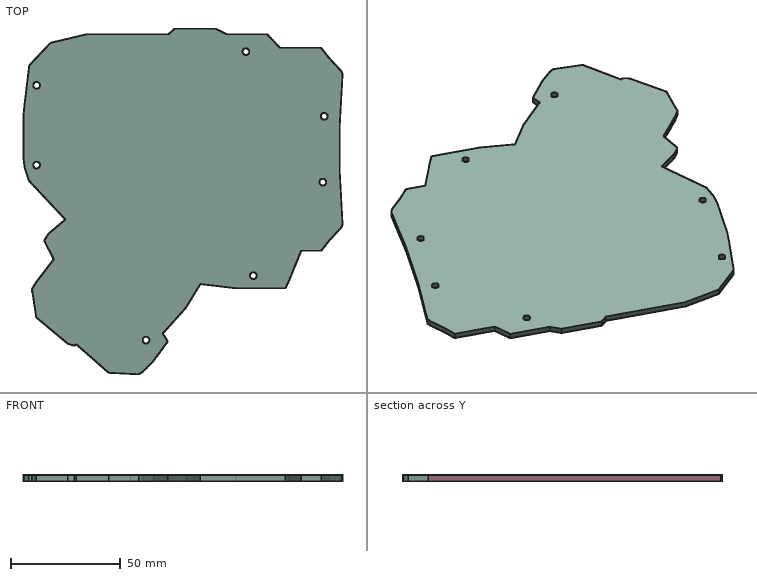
import cadquery as cq

WIDTH = 146.18
DEPTH = 158.17
THICKNESS = 3.0
HOLE_DIAMETER = 3.0

LEFT = -WIDTH / 2
RIGHT = WIDTH / 2
FRONT = -DEPTH / 2
BACK = DEPTH / 2

BACK_EDGE_Y = 76.6
BACK_STEP_Y = 70.4
RIGHT_STEP_Y = -22.6
FRONT_EDGE_Y = -39.7
RIGHT_WAIST_X = 71.8
RIGHT_CORNER_X = 63.2

back_edge = [
    (-60.6, 72.7),
    (-50.0, 75.2),
    (-44.1, BACK_EDGE_Y),
    (-6.7, BACK_EDGE_Y),
    (-3.9, BACK),
    (15.0, BACK),
    (20.0, BACK_EDGE_Y),
    (38.5, BACK_EDGE_Y),
    (44.4, BACK_STEP_Y),
    (RIGHT_CORNER_X, BACK_STEP_Y),
]

right_side = [
    (66.9, 65.7),
    (72.2, 60.0),
    (RIGHT, 58.5),
    (RIGHT_WAIST_X, 35.6),
    (RIGHT_WAIST_X, 12.9),
    (RIGHT, -10.7),
    (72.2, -12.2),
    (66.9, -17.9),
    (RIGHT_CORNER_X, RIGHT_STEP_Y),
]

front_edge = [
    (54.1, RIGHT_STEP_Y),
    (48.4, -36.6),
    (46.9, FRONT_EDGE_Y),
    (24.1, FRONT_EDGE_Y),
    (8.0, -37.8),
    (1.3, -48.7),
    (-9.2, -60.4),
]

thumb_lobe = [
    (-6.9, -64.0),
    (-13.7, -73.2),
    (-18.5, -78.0),
    (-20.2, FRONT),
    (-24.1, -78.9),
    (-34.0, -78.4),
    (-48.8, -65.4),
    (-49.8, -66.0),
    (-52.7, -65.1),
    (-67.2, -53.0),
    (-68.9, -41.7),
    (-69.3, -40.3),
    (-67.3, -37.0),
    (-59.2, -26.4),
    (-63.6, -17.8),
    (-61.6, -14.7),
    (-53.9, -8.2),
]

left_side = [
    (-70.5, 9.5),
    (-72.5, 15.5),
    (LEFT, 20.2),
    (LEFT, 39.3),
    (-72.6, 44.1),
    (-70.4, 62.3),
]

LEFT_HOLES_X = -67.0
hole_centers = [
    (LEFT_HOLES_X, 53.2),
    (LEFT_HOLES_X, 16.7),
    (28.8, 68.6),
    (64.6, 39.0),
    (64.0, 8.9),
    (32.2, -33.9),
    (-16.9, -63.4),
]


def make_plate():
    """Flat plate with the many-sided outline."""
    outline = back_edge + right_side + front_edge + thumb_lobe + left_side
    return cq.Workplane("XY").polyline(outline).close().extrude(THICKNESS)


def drill_screw_holes(plate):
    """Cut the through holes for the screws."""
    top_face = plate.faces(">Z").workplane(origin=(0, 0, THICKNESS))
    return top_face.pushPoints(hole_centers).hole(HOLE_DIAMETER)


result = drill_screw_holes(make_plate())